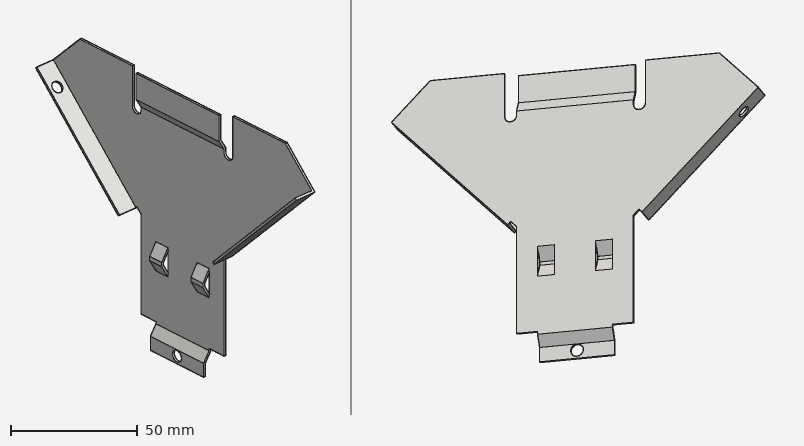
import cadquery as cq
import math

sheet = 1.0
width = 150.5
height = 121.2

top_half_width = 59.3
body_half_width = 23.9
shoulder_z = 11.7
wing_tip_z = height - (width / 2 - top_half_width)

flange_depth = 10.0
flange_length = 67.4
relief_depth = 1.8
flange_hole_diameter = 5.0
flange_hole_from_tip = 10.7
flange_hole_from_back = 5.9

slot_width = 5.0
slot_depth = 20.5
upper_tab_top = height - 0.5
upper_tab_bend_z = height - 12.2
upper_tab_root_z = height - 16.5
upper_tab_reach = 3.8

lower_tab_half_width = 15.3
lower_tab_root_z = 10.8
lower_tab_bend_z = 6.3
lower_tab_reach = 4.0
screw_hole_diameter = 5.1
screw_hole_z = 3.5

bridge_inner_x = 8.4
bridge_outer_x = lower_tab_half_width
bridge_bottom_z = 34.6
bridge_top_z = 47.7
bridge_crest_low_z = 40.3
bridge_crest_high_z = 42.3
bridge_reach = 4.4
bridge_overlap = 1.5


def box(x0, x1, y0, y1, z0, z1):
    return cq.Workplane("XY").box(x1 - x0, y1 - y0, z1 - z0, centered=False).translate((x0, y0, z0))


def bent_strip(front, x0, x1):
    """Sheet strip whose front face follows (reach, z) points listed downwards."""
    angles = [math.atan2(b[0] - a[0], a[1] - b[1]) for a, b in zip(front, front[1:])]
    before = [angles[0]] + angles
    after = angles + [angles[-1]]
    back = []
    for (reach, z), angle_in, angle_out in zip(front, before, after):
        normal = (angle_in + angle_out) / 2
        offset = sheet / math.cos((angle_out - angle_in) / 2)
        back.append((reach - offset * math.cos(normal), z - offset * math.sin(normal)))
    outline = [(-reach, z) for reach, z in front + back[::-1]]
    return cq.Workplane("YZ").polyline(outline).close().extrude(x1 - x0).translate((x0, 0, 0))


def make_plate():
    fold_run = flange_length / math.sqrt(2)
    relief_run = relief_depth / math.sqrt(2)
    fold_end = (width / 2 - fold_run, wing_tip_z - fold_run)
    relief = (fold_end[0] - relief_run, fold_end[1] + relief_run)
    neck = (body_half_width, relief[1] - (relief[0] - body_half_width))
    right = [
        (top_half_width, height),
        (width / 2, wing_tip_z),
        fold_end,
        relief,
        neck,
        (body_half_width, shoulder_z),
        (lower_tab_half_width, shoulder_z),
        (lower_tab_half_width, lower_tab_root_z),
    ]
    left = [(-x, z) for x, z in reversed(right)]
    return cq.Workplane("XZ").polyline(right + left).close().extrude(sheet)


def make_right_flange():
    flange = box(-flange_length, 0, -flange_depth, 0, 0, sheet)
    return flange.rotate((0, 0, 0), (0, 1, 0), -45).translate((width / 2, 0, wing_tip_z))


def cut_slots(plate):
    arc_z = height - slot_depth + slot_width / 2
    for x0 in (-body_half_width - slot_width, body_half_width):
        plate = plate.cut(box(x0, x0 + slot_width, -sheet, 0, arc_z, height))
        centre = (x0 + slot_width / 2, arc_z)
        plate = plate.cut(cq.Workplane("XZ").center(*centre).circle(slot_width / 2).extrude(sheet))
    return plate


def add_upper_tab(plate):
    plate = plate.cut(box(-body_half_width, body_half_width, -sheet, 0, upper_tab_root_z, height))
    front = [
        (upper_tab_reach, upper_tab_top),
        (upper_tab_reach, upper_tab_bend_z),
        (sheet, upper_tab_root_z),
        (sheet, height - slot_depth),
    ]
    return plate.union(bent_strip(front, -body_half_width, body_half_width))


def add_lower_tab(plate):
    front = [
        (sheet, shoulder_z),
        (sheet, lower_tab_root_z),
        (lower_tab_reach, lower_tab_bend_z),
        (lower_tab_reach, 0),
    ]
    tab = bent_strip(front, -lower_tab_half_width, lower_tab_half_width)
    hole = cq.Workplane("XZ").center(0, screw_hole_z).circle(screw_hole_diameter / 2)
    return plate.union(tab).cut(hole.extrude(lower_tab_reach))


def add_bridges(plate):
    front = [
        (sheet, bridge_top_z + bridge_overlap),
        (sheet, bridge_top_z),
        (bridge_reach, bridge_crest_high_z),
        (bridge_reach, bridge_crest_low_z),
        (sheet, bridge_bottom_z),
        (sheet, bridge_bottom_z - bridge_overlap),
    ]
    for x0, x1 in ((-bridge_outer_x, -bridge_inner_x), (bridge_inner_x, bridge_outer_x)):
        plate = plate.cut(box(x0, x1, -sheet, 0, bridge_bottom_z, bridge_top_z))
        plate = plate.union(bent_strip(front, x0, x1))
    return plate


def cut_left_flange_hole(body):
    run = flange_hole_from_tip / math.sqrt(2)
    centre = cq.Vector(-width / 2 + run, -flange_hole_from_back, wing_tip_z - run)
    inward = cq.Vector(1, 0, 1).normalized()
    drill = cq.Solid.makeCylinder(
        flange_hole_diameter / 2, 4 * sheet, centre - inward * (2 * sheet), inward
    )
    return body.cut(cq.Workplane(drill))


bracket = cut_slots(make_plate())
bracket = add_upper_tab(bracket)
bracket = add_lower_tab(bracket)
bracket = add_bridges(bracket)
right_flange = make_right_flange()
bracket = bracket.union(right_flange).union(right_flange.mirror("YZ"))
result = cut_left_flange_hole(bracket)